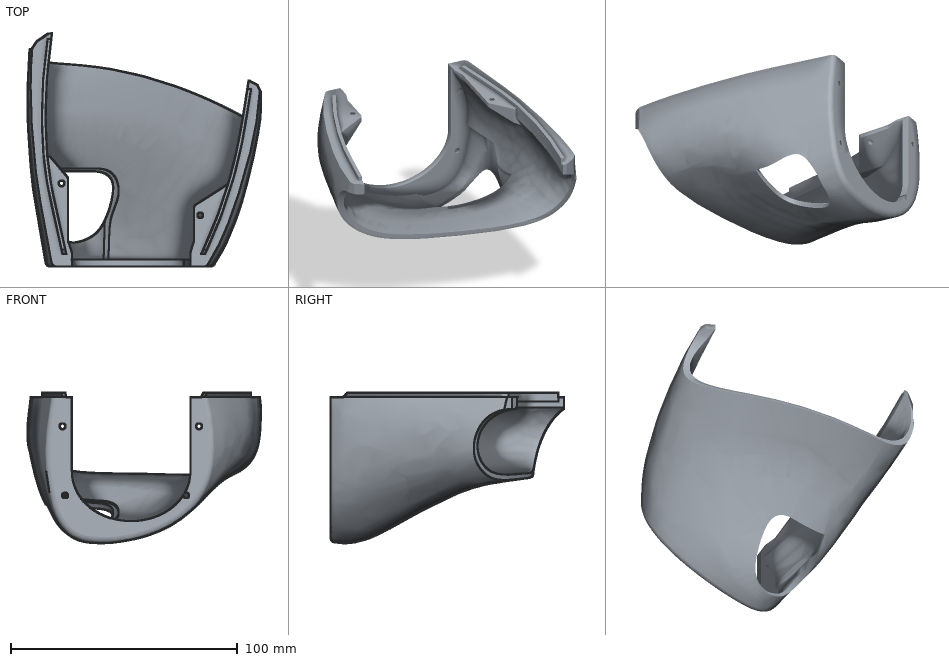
import cadquery as cq
import math

STATIONS = [
    (0, 37.6, 35.9, 63.6, -14.4, 22.7, 2.5, 2.3, -27.5, 28.1),
    (20.6, 40.9, 45.7, 60.7, -12.4, 20.6, 2.9, 1.8, -32, 37.4),
    (42.3, 44.0, 52.3, 48.9, -8.3, 16.5, 3.2, 2.1, -36.2, 44.4),
    (61.9, 45.3, 56.4, 40.2, 1, 12.4, 3.4, 2.9, -37.7, 48.6),
    (82.6, 45.4, 58.0, 36.1, 4.1, 10.3, 3.8, 3.8, -37.1, 51.8),
    (104.2, 43.1, 55.9, 34.3, 5.2, 10.3, 3.8, 3.8, -34.6, 54.7),
]
LEFT_RAIL = 8
RIGHT_RAIL = 9

RIM_INSET = (2.7, 0.7)
FLOOR_WALL = (3.6, 1.9)
LEDGE_WALL = (2.7, 2.1)
THIN_WALL = (1.8, 1.8)
SIDE_WALL_EXTRA = 0.5
RAIL_HEIGHT = 4.6
CURVE_STEPS = 4
BIG = 206.4
CLEARANCE = 10.3

FRONT_EDGE_RADIUS = 2.4
LIP_DEPTH = 3.1
OPENING_HALF_WIDTH = 26.1
OPENING_STRAIGHT = 33
OPENING_DEPTH = 54.7

PLATE_HOLES = [(-30.2, -12.9), (29.9, -12.9), (-29.1, -43.3), (24.2, -43.3)]
HOLE_RADIUS = 1.2
PLATE_HOLE_DEPTH = 10.3

PAD_EDGE_HEIGHT = 1
PAD_ROOT_HEIGHT = 10.3
PAD_ROOT_X = 41.3
PAD_TIP = 3
LEFT_PAD = [(-26.1, 1), (-26.1, 6.2), (-27.8, 11.4), (-27.8, 39.2), (-35.7, 48.5), (-41.3, 48.5), (-41.3, 1)]
RIGHT_PAD = [(26.1, 1), (26.1, 6.2), (27.7, 11.4), (27.7, 26.8), (42.2, 36.1), (45.4, 36.1), (45.4, 1)]
LEFT_PAD_HOLE = (-30.6, 36.7)
RIGHT_PAD_HOLE = (30.4, 22.7)
PAD_CORNER_RADIUS = 2.1

WINDOW_TOP = 31
WINDOW_INNER = [
    (-24.8, 10.7), (-20.6, 11.8), (-15.7, 14.7), (-10.8, 22.2), (-8.5, 30.1), (-8.3, 37.1), (-16.3, 42.0),
]
WINDOW_OUTER = [(-33.5, 42.0), (-36.0, 33), (-37.7, 20.6), (-35.1, 13.4), (-31, 10.9)]
LEDGE_INNER = [(-10.1, 2.1), (-9.7, 12.4), (-8.7, 22.2), (-5.6, 32), (-6.6, 38.6), (-15.5, 43.2)]
RECESS_OUTER_X = -37.1
THIN_PATCH = [(-12.2, 2.1), (-11.6, 22.2), (RECESS_OUTER_X, 22.2), (RECESS_OUTER_X, 2.1)]

LEFT_TIP_CUT = [(-36.1, 103.2), (-41.6, 99.4), (-43.9, 96), (-51.6, 96), (-51.6, 103.2)]
RIGHT_TIP_CUT = [(53.1, 82.6), (55.7, 80.0), (57.7, 75.8), (67.1, 75.8), (67.1, 82.6)]

TONGUE_WIDTH = 1.7
TONGUE_HEIGHT = 2.0
TONGUE_FRONT = 5.6
LEFT_TONGUE_REAR = 100.4
RIGHT_TONGUE_REAR = 78.4

REAR_TIP = 102.9
REAR_X_START = -36.1
REAR_SWEEP = 0.003198
TIP_HEIGHT = 5.2
REAR_X_END = 67.1
REAR_SPANS = 6
REAR_CURVE = [(0.45, -13.4), (0.13, -23.7), (0, -33)]
LEFT_OVERHANG = 13.4
RIGHT_OVERHANG = 18.1


def along_y(ends, y):
    """Value at y of a quantity that changes evenly from the first station to the last."""
    return ends[0] + (ends[1] - ends[0]) * y / STATIONS[-1][0]


def skin_section(station, wall, rim_left, rim_right, rim_height, top):
    """Closed U-shaped section of the skin lying `wall` inside the outer surface.

    Below the waist each side is a superellipse quarter down to the keel; above it the
    side leans in to its rim at rim_height below the rail top.
    """
    y, left, right, depth, keel, waist, left_exponent, right_exponent = station[:LEFT_RAIL]
    side_wall = wall + SIDE_WALL_EXTRA if wall else 0
    fall = depth - waist - wall

    def quarter(outer_x, exponent):
        half_width = abs(outer_x - keel) - side_wall
        side = math.copysign(1, outer_x - keel)
        points = []
        for i in range(CURVE_STEPS):
            angle = math.pi / 2 * i / CURVE_STEPS
            x = keel + side * half_width * math.cos(angle) ** (2 / exponent)
            points.append((x, -waist - fall * math.sin(angle) ** (2 / exponent)))
        return points

    left_side = quarter(-left, left_exponent)
    right_side = quarter(right, right_exponent)
    left_rim = (rim_left, -rim_height)
    right_rim = (rim_right, -rim_height)
    curve = [left_rim, *left_side, (keel, wall - depth), *right_side[::-1], right_rim]
    wire = cq.Workplane("XZ", origin=(0, y, 0)).spline(curve)
    if top > 0:
        wire = wire.lineTo(rim_right, top).lineTo(rim_left, top)
    return wire.close().val()


def loft(sections):
    return cq.Workplane(cq.Solid.makeLoft(sections))


def outer_body():
    sections = []
    for station in STATIONS:
        inset = along_y(RIM_INSET, station[0])
        sections.append(skin_section(station, 0, inset - station[1], station[2] - inset, 0, 0))
    return loft(sections).faces("<Y").edges("<Z").fillet(FRONT_EDGE_RADIUS)


def cavity(wall_ends):
    sections = []
    for station in STATIONS:
        wall = along_y(wall_ends, station[0])
        rims = station[LEFT_RAIL], station[RIGHT_RAIL]
        sections.append(skin_section(station, wall, *rims, RAIL_HEIGHT, CLEARANCE))
    return loft(sections)


def prism(outline, bottom, height):
    return cq.Workplane("XY", origin=(0, 0, bottom)).polyline(outline).close().extrude(height)


def front_lip():
    """Block for the front plate, with a straight-sided opening that has an elliptical bottom."""
    arch_height = OPENING_DEPTH - OPENING_STRAIGHT
    block = cq.Workplane("XY").box(BIG, LIP_DEPTH, BIG).translate((0, LIP_DEPTH / 2, -BIG / 2))
    straight = cq.Workplane("XY").box(2 * OPENING_HALF_WIDTH, BIG, 2 * OPENING_STRAIGHT)
    arch = (
        cq.Workplane("XZ", origin=(0, BIG / 2, -OPENING_STRAIGHT))
        .ellipse(OPENING_HALF_WIDTH, arch_height)
        .extrude(BIG)
    )
    return block.cut(straight).cut(arch)


def pad(outline, side):
    """Gusset under a corner pad: a wedge that thickens towards the side wall."""
    corner_x = min(abs(x) for x, y in outline)
    profile = [
        (side * corner_x, 0),
        (side * corner_x, -PAD_EDGE_HEIGHT),
        (side * PAD_ROOT_X, -PAD_ROOT_HEIGHT),
        (side * (PAD_ROOT_X + CLEARANCE), -PAD_ROOT_HEIGHT),
        (side * (PAD_ROOT_X + CLEARANCE), 0),
    ]
    wedge = cq.Workplane("XZ").polyline(profile).close().extrude(-BIG)
    plan = prism(outline, -BIG / 2, BIG)
    tip = cq.selectors.NearestToPointSelector((*outline[PAD_TIP], 0))
    plan = plan.edges("|Z").edges(tip).fillet(PAD_CORNER_RADIUS)
    return wedge.intersect(plan)


def window():
    """Cutter for the window: rounded inner side, straight rear and bulging outer side."""
    return (
        cq.Workplane("XY", origin=(0, 0, -WINDOW_TOP))
        .moveTo(*WINDOW_INNER[0])
        .spline(WINDOW_INNER[1:], includeCurrent=True)
        .lineTo(*WINDOW_OUTER[0])
        .spline(WINDOW_OUTER[1:], includeCurrent=True)
        .close()
        .extrude(-BIG)
    )


def ledge():
    """Thinned wall that frames the window from the inside and runs on to the front plate."""
    first_y = LEDGE_INNER[0][1]
    last_y = LEDGE_INNER[-1][1]
    plan = (
        cq.Workplane("XY", origin=(0, 0, -WINDOW_TOP))
        .moveTo(*LEDGE_INNER[0])
        .spline(LEDGE_INNER[1:], includeCurrent=True)
        .lineTo(RECESS_OUTER_X, last_y)
        .lineTo(RECESS_OUTER_X, first_y)
        .close()
        .extrude(-BIG)
    )
    return cavity(LEDGE_WALL).intersect(plan)


def thin_patch():
    plan = prism(THIN_PATCH, -BIG, BIG - WINDOW_TOP)
    return cavity(THIN_WALL).intersect(plan)


def rear_profile(x):
    """Side profile of the rear edge at a given x, closed behind the part."""
    sweep = REAR_SWEEP * max(0, x - REAR_X_START) ** 2
    share = max(0, x - REAR_X_START) / (REAR_X_END - REAR_X_START)
    overhang = LEFT_OVERHANG + share * (RIGHT_OVERHANG - LEFT_OVERHANG)
    floor_y = REAR_TIP - LEFT_OVERHANG - sweep
    curve = [(floor_y + overhang * reach ** (1 + share), z) for reach, z in REAR_CURVE]
    wire = (
        cq.Workplane("YZ", origin=(x, 0, 0))
        .moveTo(floor_y + overhang, CLEARANCE)
        .lineTo(floor_y + overhang, -TIP_HEIGHT)
        .spline(curve, includeCurrent=True)
        .lineTo(floor_y, -BIG)
        .lineTo(BIG, -BIG)
        .lineTo(BIG, CLEARANCE)
        .close()
    )
    return wire.val()


def rear_cutter():
    pitch = (REAR_X_END - REAR_X_START) / REAR_SPANS
    places = [REAR_X_START + pitch * i for i in range(-1, REAR_SPANS + 1)]
    return loft([rear_profile(x) for x in places])


def tongue(column, side, rear):
    """Raised strip along a rail's inner edge, sloped at 45 degrees at its front end."""
    inner = [(s[column], s[0]) for s in STATIONS]
    outer = [(x + side * TONGUE_WIDTH, y) for x, y in inner]
    strip = (
        cq.Workplane("XY", origin=(0, 0, -TONGUE_HEIGHT))
        .spline(inner)
        .lineTo(*outer[-1])
        .spline(outer[::-1][1:], includeCurrent=True)
        .close()
        .extrude(2 * TONGUE_HEIGHT)
    )
    side_profile = [
        (TONGUE_FRONT - TONGUE_HEIGHT, -TONGUE_HEIGHT),
        (rear, -TONGUE_HEIGHT),
        (rear, TONGUE_HEIGHT),
        (TONGUE_FRONT + TONGUE_HEIGHT, TONGUE_HEIGHT),
    ]
    length = cq.Workplane("YZ").polyline(side_profile).close().extrude(BIG / 2, both=True)
    return strip.intersect(length)


def holes():
    plate = (
        cq.Workplane("XZ")
        .pushPoints(PLATE_HOLES)
        .circle(HOLE_RADIUS)
        .extrude(-PLATE_HOLE_DEPTH)
    )
    pads = (
        cq.Workplane("XY")
        .pushPoints([LEFT_PAD_HOLE, RIGHT_PAD_HOLE])
        .circle(HOLE_RADIUS)
        .extrude(-PAD_ROOT_HEIGHT)
    )
    return plate.union(pads)


outer = outer_body()
hollow = cavity(FLOOR_WALL).union(ledge()).union(thin_patch())
shell = outer.cut(hollow)

fittings = front_lip().union(pad(LEFT_PAD, -1)).union(pad(RIGHT_PAD, 1))
shell = shell.union(fittings.intersect(outer)).cut(window())

left_tongue = tongue(LEFT_RAIL, -1, LEFT_TONGUE_REAR)
right_tongue = tongue(RIGHT_RAIL, 1, RIGHT_TONGUE_REAR)
shell = shell.union(left_tongue).union(right_tongue).cut(rear_cutter())

for tip_outline in (LEFT_TIP_CUT, RIGHT_TIP_CUT):
    shell = shell.cut(prism(tip_outline, -BIG, 2 * BIG))

result = shell.cut(holes())